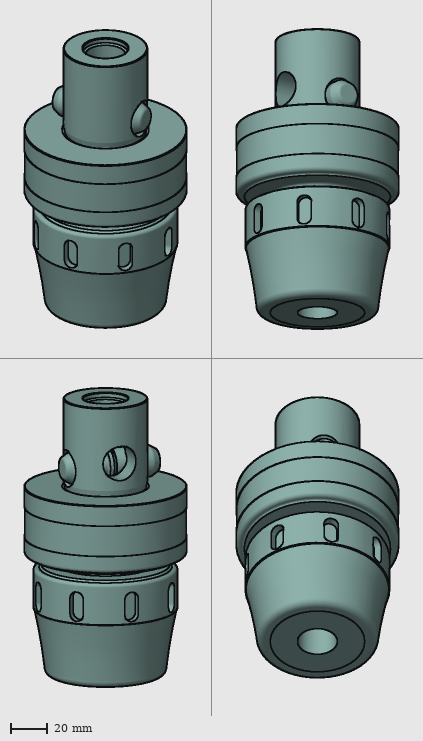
import cadquery as cq
import math

TOTAL_HEIGHT = 157.0
FLANGE_TOP = 106.9
FLANGE_BOTTOM = 66.9
NUT_TOP = 62.2

SHANK_RADIUS = 23.2
SHANK_CHAMFER = 0.5
UNDERCUT_HEIGHT = 3.0
UNDERCUT_DEPTH = 0.6
RELIEF_RADIUS = 24.0
RELIEF_DEPTH = 0.6

BORE_RADIUS = 11.0
COUNTERBORE_RADIUS = 12.4
COUNTERBORE_DEPTH = 2.8
COUNTERBORE_FLOOR_ANGLE = 30.0
COUNTERBORE_CHAMFER = 0.5

FLANGE_RADIUS = 44.98
FLANGE_CHAMFER = 0.5
BAND_TOP = 95.3
BAND_BOTTOM = 78.0
BAND_DEPTH = 0.3
FLANGE_FILLET = 2.4
COLLAR_RADIUS = 40.3
COLLAR_HEIGHT = 1.3

NECK_RADIUS = 26.0
NECK_FILLET = 1.9

PIN_HEIGHT = 119.0
PIN_RADIUS = 9.0
PIN_LEFT_END = -30.5
PIN_RIGHT_END = 25.7
PIN_TIP_ANGLE = 30.0
PIN_TIP_LENGTH = 4.9
PIN_TIP_FILLET = 2.2
PIN_SHOULDER_FILLET = 1.9
PIN_GROOVE_LEFT = 0.5
PIN_GROOVE_RIGHT = 5.3
PIN_GROOVE_RADIUS = 6.1
PIN_GROOVE_FILLET = 0.5
PIN_RING_LEFT = -3.3
PIN_RING_RIGHT = -1.9
PIN_RING_RADIUS = 9.4
PIN_HOLE_MOUTH_RADIUS = 10.5
PIN_HOLE_MOUTH_ANGLE = 30.0

BACK_HOLE_HEIGHT = 125.1
BACK_HOLE_RADIUS = 9.7

NUT_RADIUS = 39.9
NUT_RIM_HEIGHT = 1.3
NUT_RIM_RADIUS = 35.5
NUT_RIM_FLARE = 1.3
NUT_TOP_FILLET = 1.9
NUT_SKIRT_TOP = 37.4
NUT_SKIRT_STEP = 0.5
NUT_NOSE_RADIUS = 33.8
NUT_NOSE_HEIGHT = 4.1
NUT_NOSE_FACE_RADIUS = 29.8
SKIRT_HOLLOW = 0.5

SLOT_COUNT = 8
SLOT_WIDTH = 8.0
SLOT_LENGTH = 16.6
SLOT_BOTTOM = 39.1
SLOT_FLOOR_RADIUS = 35.2


def turned(profile):
    """Solid of revolution about Z from a closed profile of radius and height."""
    solid = profile.close().revolve(360, (0, 0, 0), (0, 1, 0))
    return solid.rotate((0, 0, 0), (0, 0, 1), -90)


def make_holder_blank():
    """Shank, flange and neck, with the spigot that runs down through the nut."""
    undercut_radius = SHANK_RADIUS - UNDERCUT_DEPTH
    band_radius = FLANGE_RADIUS - BAND_DEPTH
    collar_top = FLANGE_BOTTOM + COLLAR_HEIGHT
    fillet_corner = FLANGE_FILLET * (1 - math.sqrt(0.5))
    collar_corner = COLLAR_HEIGHT * (1 - math.sqrt(0.5))
    neck_corner = NECK_FILLET * (1 - math.sqrt(0.5))
    profile = (
        cq.Workplane("XZ")
        .moveTo(0, 0)
        .lineTo(NECK_RADIUS, 0)
        .lineTo(NECK_RADIUS, FLANGE_BOTTOM - NECK_FILLET)
        .threePointArc(
            (NECK_RADIUS + neck_corner, FLANGE_BOTTOM - neck_corner),
            (NECK_RADIUS + NECK_FILLET, FLANGE_BOTTOM),
        )
        .lineTo(COLLAR_RADIUS, FLANGE_BOTTOM)
        .threePointArc(
            (COLLAR_RADIUS + collar_corner, collar_top - collar_corner),
            (COLLAR_RADIUS + COLLAR_HEIGHT, collar_top),
        )
        .lineTo(FLANGE_RADIUS - FLANGE_FILLET, collar_top)
        .threePointArc(
            (FLANGE_RADIUS - fillet_corner, collar_top + fillet_corner),
            (FLANGE_RADIUS, collar_top + FLANGE_FILLET),
        )
        .lineTo(FLANGE_RADIUS, BAND_BOTTOM)
        .lineTo(band_radius, BAND_BOTTOM)
        .lineTo(band_radius, BAND_TOP)
        .lineTo(FLANGE_RADIUS, BAND_TOP)
        .lineTo(FLANGE_RADIUS, FLANGE_TOP - FLANGE_CHAMFER)
        .lineTo(FLANGE_RADIUS - FLANGE_CHAMFER, FLANGE_TOP)
        .lineTo(RELIEF_RADIUS, FLANGE_TOP)
        .lineTo(undercut_radius, FLANGE_TOP - RELIEF_DEPTH)
        .lineTo(undercut_radius, FLANGE_TOP)
        .lineTo(SHANK_RADIUS, FLANGE_TOP + UNDERCUT_HEIGHT)
        .lineTo(SHANK_RADIUS, TOTAL_HEIGHT - SHANK_CHAMFER)
        .lineTo(SHANK_RADIUS - SHANK_CHAMFER, TOTAL_HEIGHT)
        .lineTo(0, TOTAL_HEIGHT)
    )
    return turned(profile)


def make_bore():
    """Through bore with a chamfered counterbore at the top of the shank."""
    counterbore_floor = TOTAL_HEIGHT - COUNTERBORE_DEPTH
    floor_slope = math.tan(math.radians(COUNTERBORE_FLOOR_ANGLE))
    cone_depth = (COUNTERBORE_RADIUS - BORE_RADIUS) * floor_slope
    profile = (
        cq.Workplane("XZ")
        .moveTo(0, 0)
        .lineTo(BORE_RADIUS, 0)
        .lineTo(BORE_RADIUS, counterbore_floor - cone_depth)
        .lineTo(COUNTERBORE_RADIUS, counterbore_floor)
        .lineTo(COUNTERBORE_RADIUS, TOTAL_HEIGHT - COUNTERBORE_CHAMFER)
        .lineTo(COUNTERBORE_RADIUS + COUNTERBORE_CHAMFER, TOTAL_HEIGHT)
        .lineTo(0, TOTAL_HEIGHT)
    )
    return turned(profile)


def make_pin_hole():
    """Cross hole along X whose two mouths flare out to a conical countersink."""
    slope = math.tan(math.radians(PIN_HOLE_MOUTH_ANGLE))
    cone_length = (PIN_HOLE_MOUTH_RADIUS - PIN_RADIUS) / slope
    throat = SHANK_RADIUS - cone_length
    reach = SHANK_RADIUS + cone_length
    outer_radius = PIN_HOLE_MOUTH_RADIUS + cone_length * slope
    return (
        cq.Workplane("XY")
        .moveTo(-reach, 0)
        .lineTo(-reach, outer_radius)
        .lineTo(-throat, PIN_RADIUS)
        .lineTo(throat, PIN_RADIUS)
        .lineTo(reach, outer_radius)
        .lineTo(reach, 0)
        .close()
        .revolve(360, (0, 0, 0), (1, 0, 0))
        .translate((0, 0, PIN_HEIGHT))
    )


def make_back_hole():
    """Radial hole from the +Y side of the shank into the bore."""
    return (
        cq.Workplane("XZ")
        .center(0, BACK_HOLE_HEIGHT)
        .circle(BACK_HOLE_RADIUS)
        .extrude(-SHANK_RADIUS)
    )


def make_holder():
    """Shank, flange and spigot in one solid, bored and cross-drilled."""
    return make_holder_blank().cut(make_bore()).cut(make_pin_hole()).cut(make_back_hole())


def make_pin():
    """Cross pin with cone tips, a retaining ring and a groove in its middle."""
    tip_radius = PIN_RADIUS - PIN_TIP_LENGTH * math.tan(math.radians(PIN_TIP_ANGLE))
    left_shoulder = PIN_LEFT_END + PIN_TIP_LENGTH
    right_shoulder = PIN_RIGHT_END - PIN_TIP_LENGTH
    body = (
        cq.Workplane("XY")
        .moveTo(PIN_LEFT_END, 0)
        .lineTo(PIN_LEFT_END, tip_radius)
        .lineTo(left_shoulder, PIN_RADIUS)
        .lineTo(right_shoulder, PIN_RADIUS)
        .lineTo(PIN_RIGHT_END, tip_radius)
        .lineTo(PIN_RIGHT_END, 0)
        .close()
        .revolve(360, (0, 0, 0), (1, 0, 0))
    )
    body = body.faces("<X or >X").edges().fillet(PIN_TIP_FILLET)
    shoulders = cq.selectors.RadiusNthSelector(-1)
    body = body.edges(shoulders).fillet(PIN_SHOULDER_FILLET)
    groove = (
        cq.Workplane("YZ", origin=(PIN_GROOVE_LEFT, 0, 0))
        .circle(PIN_RADIUS)
        .circle(PIN_GROOVE_RADIUS)
        .extrude(PIN_GROOVE_RIGHT - PIN_GROOVE_LEFT)
        .edges(cq.selectors.RadiusNthSelector(0))
        .fillet(PIN_GROOVE_FILLET)
    )
    ring = (
        cq.Workplane("YZ", origin=(PIN_RING_LEFT, 0, 0))
        .circle(PIN_RING_RADIUS)
        .extrude(PIN_RING_RIGHT - PIN_RING_LEFT)
    )
    return body.cut(groove).union(ring).translate((0, 0, PIN_HEIGHT))


def make_nut_blank():
    """Ring around the spigot, with a raised rim on top and a slightly hollow tapered skirt."""
    shoulder_height = NUT_TOP - NUT_RIM_HEIGHT
    fillet_corner = NUT_TOP_FILLET * (1 - math.sqrt(0.5))
    skirt_radius = NUT_RADIUS - NUT_SKIRT_STEP
    skirt_middle = (
        (skirt_radius + NUT_NOSE_RADIUS) / 2 - SKIRT_HOLLOW,
        (NUT_SKIRT_TOP + NUT_NOSE_HEIGHT) / 2,
    )
    nose_middle = (
        NUT_NOSE_FACE_RADIUS + (NUT_NOSE_RADIUS - NUT_NOSE_FACE_RADIUS) * math.sqrt(0.5),
        NUT_NOSE_HEIGHT * (1 - math.sqrt(0.5)),
    )
    profile = (
        cq.Workplane("XZ")
        .moveTo(NECK_RADIUS, 0)
        .lineTo(NUT_NOSE_FACE_RADIUS, 0)
        .threePointArc(nose_middle, (NUT_NOSE_RADIUS, NUT_NOSE_HEIGHT))
        .threePointArc(skirt_middle, (skirt_radius, NUT_SKIRT_TOP))
        .lineTo(NUT_RADIUS, NUT_SKIRT_TOP + NUT_SKIRT_STEP)
        .lineTo(NUT_RADIUS, shoulder_height - NUT_TOP_FILLET)
        .threePointArc(
            (NUT_RADIUS - fillet_corner, shoulder_height - fillet_corner),
            (NUT_RADIUS - NUT_TOP_FILLET, shoulder_height),
        )
        .lineTo(NUT_RIM_RADIUS + NUT_RIM_FLARE, shoulder_height)
        .lineTo(NUT_RIM_RADIUS, NUT_TOP)
        .lineTo(NECK_RADIUS, NUT_TOP)
    )
    return turned(profile)


def make_slot(angle):
    """Upright flat-floored spanner slot facing outward at the given angle about Z."""
    return (
        cq.Workplane("YZ", origin=(SLOT_FLOOR_RADIUS, 0, SLOT_BOTTOM + SLOT_LENGTH / 2))
        .slot2D(SLOT_LENGTH, SLOT_WIDTH, 90)
        .extrude(NUT_RADIUS)
        .rotate((0, 0, 0), (0, 0, 1), angle)
    )


def make_nut():
    """Clamping nut with its ring of spanner slots."""
    nut = make_nut_blank()
    for index in range(SLOT_COUNT):
        nut = nut.cut(make_slot(index * 360 / SLOT_COUNT))
    return nut


holder = make_holder()
nut = make_nut()
pin = make_pin()

result = cq.Compound.makeCompound([holder.val(), nut.val(), pin.val()])